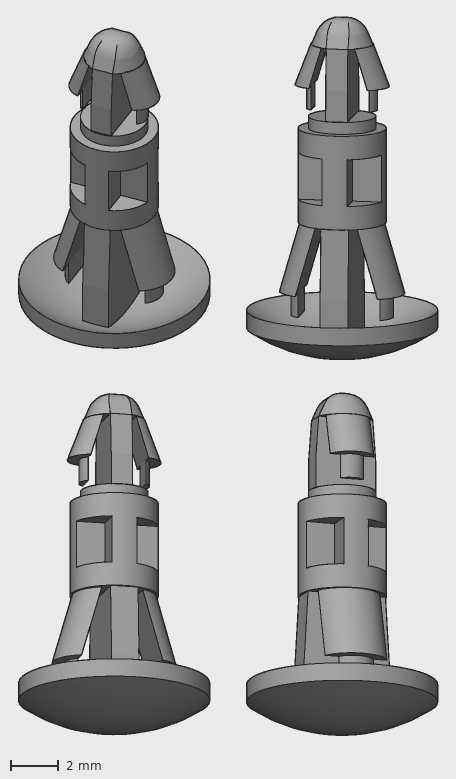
import cadquery as cq
import math

dish_radius = 4.0
dish_sag = 1.24
rim_height = 0.75
rim_top = dish_sag + rim_height
dish_floor = 0.58

column_radius = 1.85
column_bottom = 5.75
column_height = 4.0
column_top = column_bottom + column_height
window_height = 2.0
column_middle = column_bottom + column_height / 2
web_half_width = 0.53
collar_radius = 1.42
collar_height = 0.5
collar_top = column_top + collar_height

lower_fin_width = 1.18
lower_fin_base_half = 1.9
lower_fin_top_half = 1.72

lower_barb_bottom = 2.76
lower_barb_top_inner = 0.88
lower_barb_bottom_inner = 1.75
lower_barb_depth = 0.9
lower_barb_half_width = 1.37
lower_nub_depth = 0.42
lower_nub_half_width = 0.77
nub_length = 1.01

upper_fin_width = 0.92
upper_fin_base_half = 1.33
upper_barb_bottom = 11.57
shoulder_z = 13.34
upper_barb_top_inner = 0.71
upper_barb_bottom_inner = 1.24
upper_barb_top_depth = 0.6
upper_barb_bottom_depth = 0.75
upper_barb_half_width = 0.97
upper_nub_depth = 0.26
upper_nub_half_width = 0.5

dome_base_z = 13.87
head_top = 14.45
head_shoulder_half = 1.2
dome_base_half = 0.95
crown_half = 0.06
crown_half_length = 0.17


def rim_radius(flat_half):
    """Radius at which the round head meets a fin-wide flat."""
    return math.hypot(flat_half, upper_fin_width / 2)


def make_dish():
    profile = (
        cq.Workplane("XZ")
        .moveTo(0, 0)
        .threePointArc(sag_point(0, dish_sag), (dish_radius, dish_sag))
        .lineTo(dish_radius, rim_top)
        .threePointArc(sag_point(dish_floor, rim_top), (0, dish_floor))
        .close()
    )
    return profile.revolve(360, (0, 0, 0), (0, 1, 0))


def sag_point(lowest_z, edge_z):
    """Point half way out on a dish sphere that rises from lowest_z to edge_z."""
    sag = edge_z - lowest_z
    sphere_radius = (dish_radius**2 + sag**2) / (2 * sag)
    x = dish_radius / 2
    return x, lowest_z + sphere_radius - math.sqrt(sphere_radius**2 - x**2)


def make_fin(width, base_z, base_half, taper_z, top_z, top_half):
    """Upright fin across Y: straight to taper_z, then narrowing to top_z."""
    outline = [
        (-base_half, base_z),
        (base_half, base_z),
        (base_half, taper_z),
        (top_half, top_z),
        (-top_half, top_z),
        (-base_half, taper_z),
    ]
    return cq.Workplane("YZ").polyline(outline).close().extrude(width / 2, both=True)


def segment(z, inner, depth, half_width):
    """Circular segment with its flat at x = inner, bulging toward +X."""
    return (
        cq.Workplane("XY", origin=(0, 0, z))
        .moveTo(inner, -half_width)
        .threePointArc((inner + depth, 0), (inner, half_width))
        .close()
    )


def make_barb(bottom, top, nub):
    """Slanted barb between two segments, with a straight nub hanging below it."""
    wires = [segment(*end).wires().val() for end in (bottom, top)]
    barb = cq.Workplane(cq.Solid.makeLoft(wires, True))
    return barb.union(segment(*nub).extrude(-nub_length))


def both_sides(barb):
    return barb.union(barb.rotate((0, 0, 0), (0, 0, 1), 180))


def make_column():
    column = cq.Workplane("XY", origin=(0, 0, column_bottom)).circle(column_radius).extrude(column_height)
    window_centre = web_half_width + column_radius / 2
    windows = (
        cq.Workplane("XY", origin=(0, 0, column_middle))
        .rect(2 * window_centre, 2 * window_centre, forConstruction=True)
        .vertices()
        .box(column_radius, column_radius, window_height)
    )
    collar = cq.Workplane("XY", origin=(0, 0, column_top)).circle(collar_radius).extrude(collar_height)
    return column.cut(windows).union(collar)


def dome_middle(base, top):
    """Middle of the arc from base to top that is level at top."""
    run = base[0] - top[0]
    rise = top[1] - base[1]
    radius = (run**2 + rise**2) / (2 * rise)
    half_sweep = math.asin(run / radius) / 2
    return top[0] + radius * math.sin(half_sweep), top[1] - radius * (1 - math.cos(half_sweep))


def head_half_profile(plane, shoulder, dome_base, crown):
    """Half outline of the head: sloping shoulder, domed top and level crown."""
    base = (dome_base, dome_base_z)
    top = (crown, head_top)
    return (
        cq.Workplane(plane)
        .moveTo(0, shoulder_z)
        .lineTo(shoulder, shoulder_z)
        .lineTo(*base)
        .threePointArc(dome_middle(base, top), top)
        .lineTo(0, head_top)
        .close()
    )


def make_head():
    """Round head trimmed by a flat-sided one, which leaves a facet over each fin edge."""
    round_head = head_half_profile(
        "XZ", rim_radius(head_shoulder_half), rim_radius(dome_base_half), crown_half_length
    ).revolve(360, (0, 0, 0), (0, 1, 0))
    half_flat = head_half_profile("YZ", head_shoulder_half, dome_base_half, crown_half).extrude(
        column_radius, both=True
    )
    flat_head = half_flat.union(half_flat.mirror("XZ"))
    return round_head.intersect(flat_head)


def make_post(dish):
    lower_fin = make_fin(
        lower_fin_width, dish_floor, lower_fin_base_half, lower_barb_bottom, column_bottom, lower_fin_top_half
    ).cut(dish)
    lower_barb = make_barb(
        (lower_barb_bottom, lower_barb_bottom_inner, lower_barb_depth, lower_barb_half_width),
        (column_bottom, lower_barb_top_inner, lower_barb_depth, lower_barb_half_width),
        (lower_barb_bottom, lower_barb_bottom_inner, lower_nub_depth, lower_nub_half_width),
    )
    upper_fin = make_fin(
        upper_fin_width, collar_top, upper_fin_base_half, upper_barb_bottom, shoulder_z, head_shoulder_half
    )
    upper_barb = make_barb(
        (upper_barb_bottom, upper_barb_bottom_inner, upper_barb_bottom_depth, upper_barb_half_width),
        (shoulder_z, upper_barb_top_inner, upper_barb_top_depth, upper_barb_half_width),
        (upper_barb_bottom, upper_barb_bottom_inner, upper_nub_depth, upper_nub_half_width),
    )
    post = make_column().union(lower_fin).union(both_sides(lower_barb))
    return post.union(upper_fin).union(make_head()).union(both_sides(upper_barb))


dish = make_dish()
post = make_post(dish)

result = cq.Compound.makeCompound([dish.val(), *post.vals()])